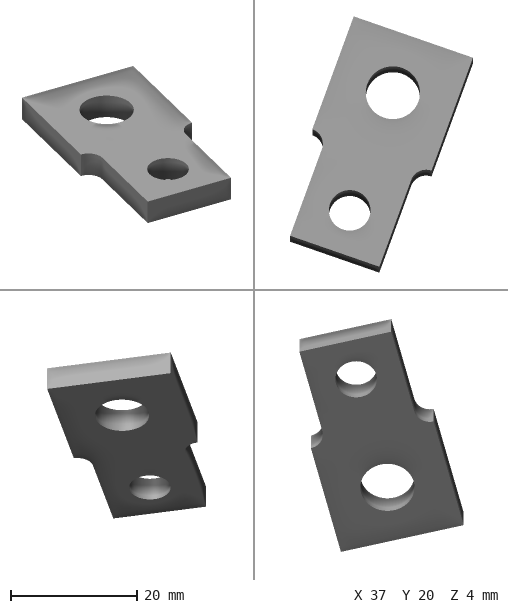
import cadquery as cq
import math

length = 37.0
width = 20.0
thickness = 4.0

wide_length = 19.5
corner_radius = 2.5
narrow_width = width - 2 * corner_radius

large_hole_x = 9.62
large_hole_diameter = 8.6
small_hole_x = 29.95
small_hole_diameter = 6.6


def plate_outline():
    """Stepped outline, symmetric about X, starting at the wide end."""
    half_wide = width / 2
    half_narrow = narrow_width / 2
    corner_end = wide_length + corner_radius
    diagonal = corner_radius * math.sqrt(0.5)
    mid_x = corner_end - diagonal
    mid_y = half_wide - diagonal
    return (
        cq.Workplane("XY")
        .moveTo(0, -half_wide)
        .lineTo(wide_length, -half_wide)
        .threePointArc((mid_x, -mid_y), (corner_end, -half_narrow))
        .lineTo(length, -half_narrow)
        .lineTo(length, half_narrow)
        .lineTo(corner_end, half_narrow)
        .threePointArc((mid_x, mid_y), (wide_length, half_wide))
        .lineTo(0, half_wide)
        .close()
    )


def through_hole(x, diameter):
    return cq.Workplane("XY").center(x, 0).circle(diameter / 2).extrude(thickness)


result = (
    plate_outline()
    .extrude(thickness)
    .cut(through_hole(large_hole_x, large_hole_diameter))
    .cut(through_hole(small_hole_x, small_hole_diameter))
)